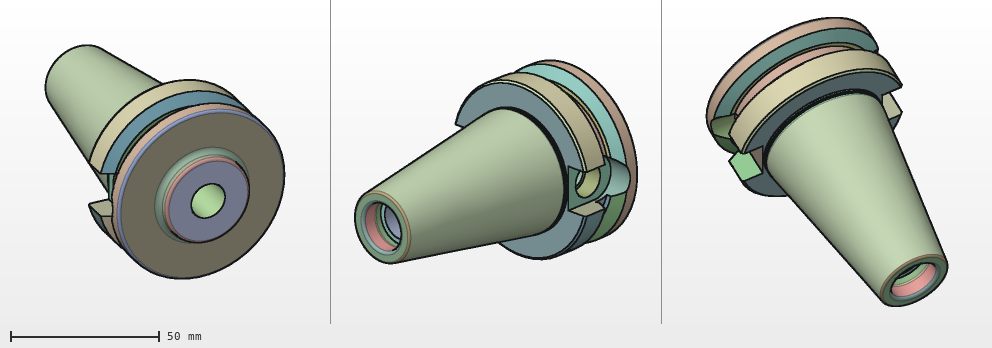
import cadquery as cq
import math

LENGTH = 97.15
SMALL_END_RADIUS = 12.7
TAPER_END_RADIUS = 22.2
TAPER_END_X = 65.3
NOSE_ROUND = 0.7

RELIEF_RADIUS = 44.0 / 2
RELIEF_START_X = 66.1
RELIEF_END_X = 66.7

FLANGE_RADIUS = 63.0 / 2
FLANGE_START_X = 67.5
FLANGE_END_X = 92.4
FLANGE_CHAMFER = 0.8
FLANGE_EDGE_ROUND = 1.0
GROOVE_FRONT_X = 77.1
GROOVE_REAR_X = 86.95
GROOVE_WALL_FRONT_X = 79.4
GROOVE_WALL_REAR_X = 84.3
GROOVE_WALL_RADIUS = 27.2
GROOVE_FLOOR_RADIUS = 25.5

BOSS_RADIUS = 31.8 / 2
BOSS_FILLET = 1.9
BOSS_EDGE_ROUND = 1.1

PILOT_RADIUS = 17.0 / 2
PILOT_DEPTH = 8.9
ENTRY_ROUND = 1.1
UNDERCUT_RADIUS = 17.6 / 2
UNDERCUT_CONE_START_X = 5.6
UNDERCUT_CONE_END_X = 6.6
THREAD_RADIUS = 13.8 / 2
THREAD_END_X = 31.1
BORE_RADIUS = 12.7 / 2

SLOT_RADIUS = 8.1
SLOT_END_X = 88.3
SLOT_FLOOR_Y = 22.5

HOLE_X = 77.0
HOLE_RADIUS = 9.7 / 2
COUNTERBORE_RADIUS = 12.0 / 2
COUNTERBORE_DEPTH = 6.8


def tangent_round(corner_radius):
    """Offset from a square corner to the middle of its quarter round."""
    return corner_radius * (1 - math.sqrt(0.5))


def make_body():
    """Solid of revolution for shank, flange and boss."""
    flange_mid = tangent_round(FLANGE_EDGE_ROUND)
    fillet_mid = tangent_round(BOSS_FILLET)
    boss_mid = tangent_round(BOSS_EDGE_ROUND)
    taper_slope = (TAPER_END_RADIUS - SMALL_END_RADIUS) / TAPER_END_X
    nose_mid = tangent_round(NOSE_ROUND)
    nose_radius = SMALL_END_RADIUS + taper_slope * NOSE_ROUND
    profile = (
        cq.Workplane("XY")
        .moveTo(0, 0)
        .lineTo(0, SMALL_END_RADIUS - NOSE_ROUND)
        .threePointArc((nose_mid, SMALL_END_RADIUS - nose_mid), (NOSE_ROUND, nose_radius))
        .lineTo(TAPER_END_X, TAPER_END_RADIUS)
        .lineTo(RELIEF_START_X, TAPER_END_RADIUS)
        .lineTo(RELIEF_START_X, RELIEF_RADIUS)
        .lineTo(RELIEF_END_X, RELIEF_RADIUS)
        .lineTo(RELIEF_END_X, TAPER_END_RADIUS)
        .lineTo(FLANGE_START_X, TAPER_END_RADIUS)
        .lineTo(FLANGE_START_X, FLANGE_RADIUS - FLANGE_CHAMFER)
        .lineTo(FLANGE_START_X + FLANGE_CHAMFER, FLANGE_RADIUS)
        .lineTo(GROOVE_FRONT_X, FLANGE_RADIUS)
        .lineTo(GROOVE_WALL_FRONT_X, GROOVE_WALL_RADIUS)
        .lineTo(GROOVE_WALL_FRONT_X, GROOVE_FLOOR_RADIUS)
        .lineTo(GROOVE_WALL_REAR_X, GROOVE_FLOOR_RADIUS)
        .lineTo(GROOVE_WALL_REAR_X, GROOVE_WALL_RADIUS)
        .lineTo(GROOVE_REAR_X, FLANGE_RADIUS)
        .lineTo(FLANGE_END_X - FLANGE_EDGE_ROUND, FLANGE_RADIUS)
        .threePointArc(
            (FLANGE_END_X - flange_mid, FLANGE_RADIUS - flange_mid),
            (FLANGE_END_X, FLANGE_RADIUS - FLANGE_EDGE_ROUND),
        )
        .lineTo(FLANGE_END_X, BOSS_RADIUS + BOSS_FILLET)
        .threePointArc(
            (FLANGE_END_X + fillet_mid, BOSS_RADIUS + fillet_mid),
            (FLANGE_END_X + BOSS_FILLET, BOSS_RADIUS),
        )
        .lineTo(LENGTH - BOSS_EDGE_ROUND, BOSS_RADIUS)
        .threePointArc(
            (LENGTH - boss_mid, BOSS_RADIUS - boss_mid),
            (LENGTH, BOSS_RADIUS - BOSS_EDGE_ROUND),
        )
        .lineTo(LENGTH, 0)
        .close()
    )
    return profile.revolve(360, (0, 0, 0), (1, 0, 0))


def make_bore():
    """Cutter for the stepped through bore with its rounded mouth."""
    entry_mid = tangent_round(ENTRY_ROUND)
    thread_chamfer = THREAD_RADIUS - BORE_RADIUS
    profile = (
        cq.Workplane("XY")
        .moveTo(0, 0)
        .lineTo(0, PILOT_RADIUS + ENTRY_ROUND)
        .threePointArc((entry_mid, PILOT_RADIUS + entry_mid), (ENTRY_ROUND, PILOT_RADIUS))
        .lineTo(UNDERCUT_CONE_START_X, PILOT_RADIUS)
        .lineTo(UNDERCUT_CONE_END_X, UNDERCUT_RADIUS)
        .lineTo(PILOT_DEPTH, UNDERCUT_RADIUS)
        .lineTo(PILOT_DEPTH, THREAD_RADIUS)
        .lineTo(THREAD_END_X, THREAD_RADIUS)
        .lineTo(THREAD_END_X + thread_chamfer, BORE_RADIUS)
        .lineTo(LENGTH, BORE_RADIUS)
        .lineTo(LENGTH, 0)
        .close()
    )
    return profile.revolve(360, (0, 0, 0), (1, 0, 0))


def slot_floor_plane():
    """Sketch plane on the floor of the -Y slot, with its normal toward -Y."""
    return cq.Workplane("XZ", origin=(0, -SLOT_FLOOR_Y, 0))


def make_drive_slot():
    """Cutter for the -Y drive slot, open at the flange front and round at its end."""
    slot_center_x = SLOT_END_X - SLOT_RADIUS
    return (
        slot_floor_plane()
        .moveTo(FLANGE_START_X, -SLOT_RADIUS)
        .lineTo(slot_center_x, -SLOT_RADIUS)
        .threePointArc((SLOT_END_X, 0), (slot_center_x, SLOT_RADIUS))
        .lineTo(FLANGE_START_X, SLOT_RADIUS)
        .close()
        .extrude(FLANGE_RADIUS - SLOT_FLOOR_Y)
    )


def make_screw_hole():
    """Cutter for the counterbored hole, ending on the part axis inside the bore."""
    floor_at_hole = slot_floor_plane().center(HOLE_X, 0)
    counterbore = floor_at_hole.circle(COUNTERBORE_RADIUS).extrude(-COUNTERBORE_DEPTH)
    hole = floor_at_hole.circle(HOLE_RADIUS).extrude(-SLOT_FLOOR_Y)
    return counterbore.union(hole)


result = make_body().cut(make_bore()).cut(make_screw_hole())
drive_slot = make_drive_slot()
for side_angle in (0, 180):
    result = result.cut(drive_slot.rotate((0, 0, 0), (1, 0, 0), side_angle))